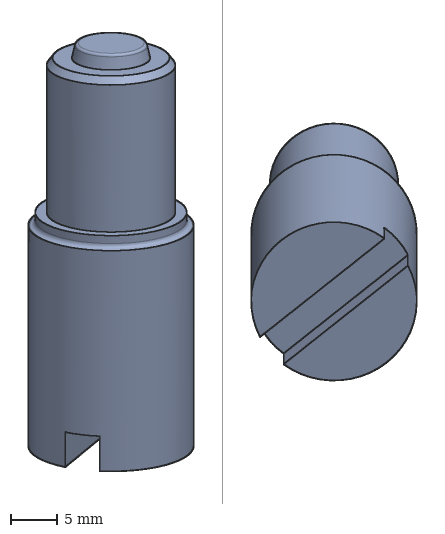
import cadquery as cq

total_height = 46.0

sleeve_diameter = 18.0
shoulder_height = 25.2
collar_diameter = 16.45
collar_top = 26.7
collar_root_radius = 0.6
slot_size = 4.0

stem_diameter = 14.0
stem_chamfer_width = 0.65
stem_chamfer_height = 0.85
tip_height = 1.7
tip_base_diameter = 8.5
tip_top_diameter = 7.75
tip_edge_radius = 0.35

stem_top = total_height - tip_height
socket_floor = shoulder_height


def cylinder(diameter, bottom, top):
    return cq.Workplane("XY").workplane(offset=bottom).circle(diameter / 2).extrude(top - bottom)


def make_sleeve():
    """Round sleeve with a filleted collar, a stem socket and a driver slot."""
    collar_radius = collar_diameter / 2
    sleeve_radius = sleeve_diameter / 2
    root_center_r = collar_radius + collar_root_radius
    root_center_z = shoulder_height + collar_root_radius
    diagonal = collar_root_radius * 0.5**0.5
    body = (
        cq.Workplane("XZ")
        .lineTo(sleeve_radius, 0)
        .lineTo(sleeve_radius, shoulder_height)
        .lineTo(root_center_r, shoulder_height)
        .threePointArc(
            (root_center_r - diagonal, root_center_z - diagonal),
            (collar_radius, root_center_z),
        )
        .lineTo(collar_radius, collar_top)
        .lineTo(0, collar_top)
        .close()
        .revolve(360, (0, 0, 0), (0, 1, 0))
    )
    socket = cylinder(stem_diameter, socket_floor, collar_top)
    slot = cq.Workplane("XY").box(slot_size, sleeve_diameter, slot_size, centered=(True, True, False))
    return body.cut(socket).cut(slot)


def make_plunger():
    """Chamfered round stem with a tapered, round-edged tip."""
    stem = (
        cylinder(stem_diameter, socket_floor, stem_top)
        .faces(">Z")
        .edges()
        .chamfer(stem_chamfer_height, stem_chamfer_width)
    )
    tip = (
        cq.Workplane("XY")
        .workplane(offset=stem_top)
        .circle(tip_base_diameter / 2)
        .workplane(offset=tip_height)
        .circle(tip_top_diameter / 2)
        .loft(ruled=True)
        .faces(">Z")
        .edges()
        .fillet(tip_edge_radius)
    )
    return stem.union(tip)


sleeve = make_sleeve()
plunger = make_plunger()

result = cq.Compound.makeCompound([sleeve.val(), plunger.val()])